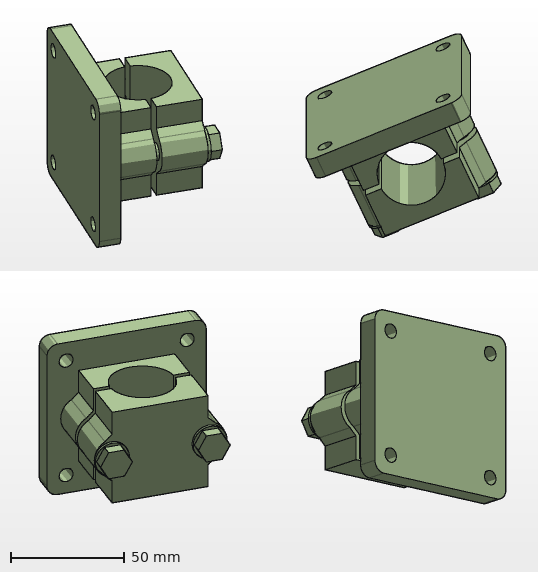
import cadquery as cq

plate_side = 75.0
plate_thickness = 10.0
plate_corner_radius = 5.0
plate_hole_diameter = 6.5
plate_hole_spacing = 57.0

block_side = 45.2
lug_span = 62.1
lug_root_height = 23.4
lug_arc_height = 17.1
lug_arc_depth = 5.0
bore_diameter = 30.15
lower_half_depth = 18.8
split_gap = 2.5
upper_half_depth = 21.4

bolt_spacing = 46.05
shank_diameter = 8.0
washer_diameter = 16.0
washer_thickness = 1.4
hex_corner_diameter = 15.0
hex_height = 5.3

split_start = plate_thickness + lower_half_depth
split_end = split_start + split_gap
clamp_top = split_end + upper_half_depth
washer_top = clamp_top + washer_thickness
bore_center = (split_start + split_end) / 2


def plane_at(y):
    """XZ plane at the given Y, with its normal toward +Y and local x along -X."""
    return cq.Workplane("XZ", origin=(0, y, 0)).transformed(rotate=(0, 180, 0))


def mounting_plate():
    plate = plane_at(0).rect(plate_side, plate_side).extrude(plate_thickness)
    plate = plate.edges("|Y").fillet(plate_corner_radius)
    holes = (
        plane_at(0)
        .rect(plate_hole_spacing, plate_hole_spacing, forConstruction=True)
        .vertices()
        .circle(plate_hole_diameter / 2)
        .extrude(plate_thickness)
    )
    return plate.cut(holes)


def clamp_half(start, depth):
    block = plane_at(start).rect(block_side, block_side).extrude(depth)
    root_x = block_side / 2
    root_z = lug_root_height / 2
    tip_x = lug_span / 2
    arc_x = tip_x - lug_arc_depth
    arc_z = lug_arc_height / 2
    lugs = (
        plane_at(start)
        .moveTo(root_x, root_z)
        .lineTo(arc_x, arc_z)
        .threePointArc((tip_x, 0), (arc_x, -arc_z))
        .lineTo(root_x, -root_z)
        .lineTo(-root_x, -root_z)
        .lineTo(-arc_x, -arc_z)
        .threePointArc((-tip_x, 0), (-arc_x, arc_z))
        .lineTo(-root_x, root_z)
        .close()
        .extrude(depth)
    )
    return block.union(lugs)


def bolts():
    centers = [(-bolt_spacing / 2, 0), (bolt_spacing / 2, 0)]
    shanks = (
        plane_at(plate_thickness)
        .pushPoints(centers)
        .circle(shank_diameter / 2)
        .extrude(clamp_top - plate_thickness)
    )
    washers = (
        plane_at(clamp_top)
        .pushPoints(centers)
        .circle(washer_diameter / 2)
        .extrude(washer_thickness)
    )
    heads = (
        plane_at(washer_top)
        .pushPoints(centers)
        .polygon(6, hex_corner_diameter)
        .extrude(hex_height)
    )
    return shanks.union(washers).union(heads)


bore = (
    cq.Workplane("XY", origin=(0, bore_center, 0))
    .circle(bore_diameter / 2)
    .extrude(block_side / 2, both=True)
)
clamp = clamp_half(plate_thickness, lower_half_depth).union(clamp_half(split_end, upper_half_depth))

result = mounting_plate().union(clamp.cut(bore)).union(bolts())